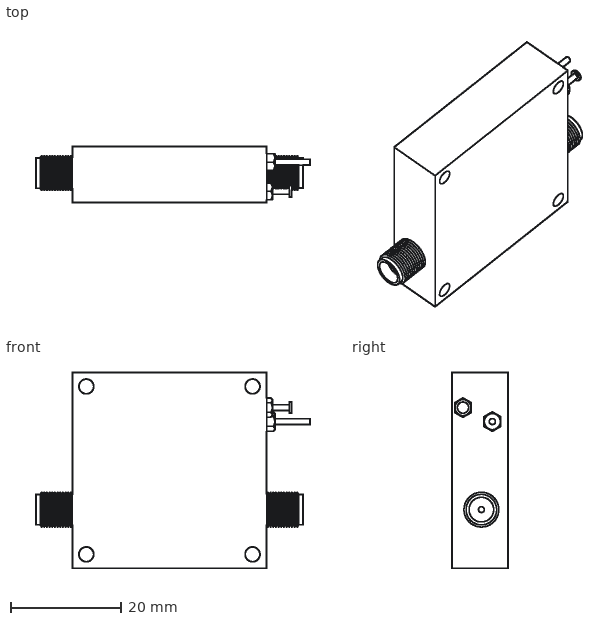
import cadquery as cq
import math

overall_length = 49.8
housing_length = 35.25
housing_depth = 10.2
housing_height = 35.55
housing_side = housing_length / 2

mount_hole_diameter = 2.65
mount_hole_inset = 2.55

connector_length = 6.6
connector_y = 0.25
connector_z = 10.65
thread_diameter = 6.3
thread_root_diameter = 5.55
thread_count = 12
tip_length = 0.8
bore_diameter = 4.5
bore_depth = 2.1
contact_diameter = 1.05
contact_length = 0.25

hex_across_flats = 3.05
hex_chamfer = 0.3
terminal_pin_diameter = 1.1

feed_y = 2.25
feed_z = 26.65
feed_hex_length = 1.55
feed_reach = overall_length - connector_length - housing_length

ground_y = -3.1
ground_z = 29.15
ground_hex_length = 1.1
ground_reach = 4.55
ground_head_diameter = 2.05
ground_head_thickness = 0.45


def make_housing():
    """Rectangular block with four mounting holes along Y."""
    block = cq.Workplane("XY").box(
        housing_length, housing_depth, housing_height, centered=(True, True, False)
    )
    holes = (
        cq.Workplane("XZ", origin=(0, housing_depth / 2, housing_height / 2))
        .rect(
            housing_length - 2 * mount_hole_inset,
            housing_height - 2 * mount_hole_inset,
            forConstruction=True,
        )
        .vertices()
        .circle(mount_hole_diameter / 2)
        .extrude(housing_depth)
    )
    return block.cut(holes)


def make_connector():
    """Threaded barrel along +X from the origin, open at its far end with a centre contact."""
    root_radius = thread_root_diameter / 2
    crest_radius = thread_diameter / 2
    pitch = (connector_length - tip_length) / thread_count
    profile = cq.Workplane("XY").lineTo(0, root_radius)
    for thread in range(thread_count):
        profile = profile.lineTo((thread + 0.5) * pitch, crest_radius)
        profile = profile.lineTo((thread + 1) * pitch, root_radius)
    profile = profile.lineTo(connector_length, root_radius).lineTo(connector_length, 0).close()
    barrel = profile.revolve(360, (0, 0, 0), (1, 0, 0))

    floor = cq.Workplane("YZ", origin=(connector_length - bore_depth, 0, 0))
    bore = floor.circle(bore_diameter / 2).extrude(bore_depth)
    contact = floor.circle(contact_diameter / 2).extrude(contact_length)
    return barrel.cut(bore).union(contact)


def make_terminal(hex_length, reach):
    """Hex base with corners along Z and a round pin along +X, starting at the origin."""
    across_corners = hex_across_flats / math.cos(math.pi / 6)
    base = (
        cq.Workplane("YZ")
        .transformed(rotate=(0, 0, 90))
        .polygon(6, across_corners)
        .extrude(hex_length)
    )
    envelope = (
        cq.Workplane("YZ")
        .circle(across_corners / 2)
        .extrude(hex_length)
        .faces(">X")
        .chamfer(hex_chamfer)
    )
    pin = cq.Workplane("YZ").circle(terminal_pin_diameter / 2).extrude(reach)
    return base.intersect(envelope).union(pin)


def make_ground_post():
    """Short terminal with a flat round head at its end."""
    head = (
        cq.Workplane("YZ", origin=(ground_reach - ground_head_thickness, 0, 0))
        .circle(ground_head_diameter / 2)
        .extrude(ground_head_thickness)
    )
    return make_terminal(ground_hex_length, ground_reach).union(head)


ground_post = make_ground_post().translate((housing_side, ground_y, ground_z))
housing = make_housing().union(ground_post)

connectors = []
for side, turn in ((1, 0), (-1, 180)):
    connector = make_connector().rotate((0, 0, 0), (0, 0, 1), turn)
    connectors.append(connector.translate((side * housing_side, connector_y, connector_z)))

feed_terminal = make_terminal(feed_hex_length, feed_reach).translate((housing_side, feed_y, feed_z))

result = cq.Compound.makeCompound(
    [housing.val(), *[connector.val() for connector in connectors], feed_terminal.val()]
)